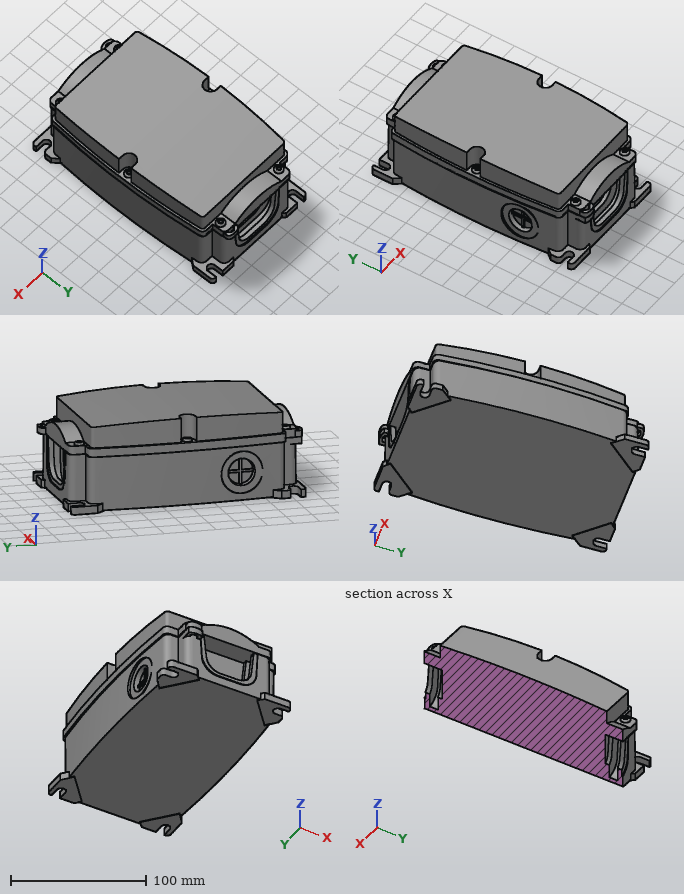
import cadquery as cq

total_height = 67.0
bottom_clearance = 0.55
foot_height = 6.0
parting_height = 42.0
flange_height = 48.6

screw_x = 32.15
screw_y = 79.6
side_screw_x = 45.0

body_top_mid_half_width = 51.1
body_bottom_mid_half_width = 50.4
body_shoulder_half_width = 46.8
body_shoulder_y = 75.6
body_neck_half_width = 36.4
body_neck_top_y = 87.6
body_neck_bottom_y = 88.2
body_corner_radius = 5.0

lid_offset_x = -0.35
lid_twist_angle = 0.2
flange_mid_half_width = 51.6
flange_shoulder_half_width = 47.5
flange_shoulder_y = 76.2
flange_neck_half_width = 36.9
flange_neck_y = 88.2
flange_corner_radius = 4.0
dome_mid_half_width = 49.5
dome_end_half_width = 45.5
dome_half_length = 74.05
dome_edge_height = 64.4
dome_corner_radius = 2.6
side_notch_radius = 6.0
arch_half_width = 25.5
arch_height = 56.2

tab_center_x = 30.55
tab_half_width = 5.85
tab_reach_y = 92.51
tab_end_bulge = 1.4
lid_tab_corner_radius = 3.0
tab_hole_radius = 2.95
tab_hole_depth = 2.2
lid_tab_top = 46.8
body_tab_bottom = 36.7

foot_half_x = 52.0
foot_half_y = 90.5
foot_slot_x = 44.6
foot_slot_y = 82.45
foot_slot_radius = 3.55
foot_outer_corner_y = 71.0
foot_outer_end = (45.0, 62.4)
foot_inner_corner_x = 29.0
foot_inner_end = (24.7, 86.2)
foot_corner_radius = 3.0

rim_top_half_width = 24.5
rim_bottom_half_width = 22.6
rim_bottom_z = 8.5
rim_corner_radius = 14.0
rim_depth = 0.3
entry_top_half_width = 21.3
entry_bottom_half_width = 18.2
entry_bottom_z = 12.0
entry_corner_radius = 12.0
entry_outer_wall = 4.3
entry_gap = 7.2
entry_inner_wall = 3.4
entry_gap_margin = 7.5

knockout_y = -41.3
knockout_z = 21.9
knockout_rim_radius = 16.1
knockout_rim_plane_x = -48.5
knockout_radius = 10.3
knockout_depth = 4.2
knockout_draft_angle = 7.0
knockout_rib_width = 1.9
knockout_rib_height = 1.0

screw_head_radius = 3.8
screw_head_height = 1.9
screw_head_rounding = 1.75
socket_radius = 1.4
socket_lobe_radius = 0.55
socket_lobe_count = 6
socket_depth = 1.2

overcut = 5.0
edge_reach = 1.0


def block(x_min, x_max, y_min, y_max, z_min, z_max):
    """Axis-aligned box given by its limits."""
    size = (x_max - x_min, y_max - y_min, z_max - z_min)
    return cq.Workplane("XY").box(*size, centered=False).translate((x_min, y_min, z_min))


def half_turn(shape):
    """Copy of a shape turned half way round the Z axis."""
    return shape.rotate((0, 0, 0), (0, 0, 1), 180)


def necked_outline(plane, mid_half_width, shoulder_half_width, shoulder_y, neck_half_width, neck_y):
    """Plan outline with bowed sides and a narrower neck at each end."""
    return (
        plane.moveTo(-shoulder_half_width, shoulder_y)
        .lineTo(-neck_half_width, shoulder_y)
        .lineTo(-neck_half_width, neck_y)
        .lineTo(neck_half_width, neck_y)
        .lineTo(neck_half_width, shoulder_y)
        .lineTo(shoulder_half_width, shoulder_y)
        .threePointArc((mid_half_width, 0), (shoulder_half_width, -shoulder_y))
        .lineTo(neck_half_width, -shoulder_y)
        .lineTo(neck_half_width, -neck_y)
        .lineTo(-neck_half_width, -neck_y)
        .lineTo(-neck_half_width, -shoulder_y)
        .lineTo(-shoulder_half_width, -shoulder_y)
        .threePointArc((-mid_half_width, 0), (-shoulder_half_width, shoulder_y))
        .close()
    )


def round_upright_edges(shape, half_x, half_y, radius):
    """Fillet the upright edges standing at (+-half_x, +-half_y)."""
    for side_x in (-1, 1):
        for side_y in (-1, 1):
            x = side_x * half_x
            y = side_y * half_y
            corner = cq.selectors.BoxSelector(
                (x - edge_reach, y - edge_reach, bottom_clearance + edge_reach),
                (x + edge_reach, y + edge_reach, total_height),
            )
            shape = shape.edges(corner).edges("not #Z").fillet(radius)
    return shape


def sealing_tab(z_min, z_max):
    """Tab with a bowed end, left of centre at the -Y end, with a seal hole where it meets the neck."""
    bow_y = -tab_reach_y + tab_end_bulge
    tab = (
        cq.Workplane("XY", origin=(0, 0, z_min))
        .moveTo(-tab_half_width, -screw_y)
        .lineTo(-tab_half_width, bow_y)
        .threePointArc((0, -tab_reach_y), (tab_half_width, bow_y))
        .lineTo(tab_half_width, -screw_y)
        .close()
        .extrude(z_max - z_min)
    )
    hole = (
        cq.Workplane("XY", origin=(0, -flange_neck_y, z_min))
        .ellipse(tab_hole_radius, tab_hole_depth)
        .extrude(z_max - z_min)
    )
    return tab.cut(hole).translate((-tab_center_x, 0, 0))


def body_shell():
    height = parting_height - bottom_clearance
    plan = (body_shoulder_half_width, body_shoulder_y, body_neck_half_width)
    lower = necked_outline(
        cq.Workplane("XY", origin=(0, 0, bottom_clearance)),
        body_bottom_mid_half_width, *plan, body_neck_bottom_y,
    )
    both = necked_outline(
        lower.workplane(offset=height),
        body_top_mid_half_width, *plan, body_neck_top_y,
    )
    body = both.loft(ruled=True)
    neck_mid_y = (body_neck_bottom_y + body_neck_top_y) / 2
    body = round_upright_edges(body, body_shoulder_half_width, body_shoulder_y, body_corner_radius)
    return round_upright_edges(body, body_neck_half_width, neck_mid_y, body_corner_radius)


def foot_blank():
    """Foot plate at the (-X, -Y) corner before its slot is cut."""
    return (
        cq.Workplane("XY")
        .polyline([
            (-foot_half_x, -foot_half_y),
            (-foot_inner_corner_x, -foot_half_y),
            (-foot_inner_end[0], -foot_inner_end[1]),
            (-foot_outer_end[0], -foot_outer_end[1]),
            (-foot_half_x, -foot_outer_corner_y),
        ])
        .close()
        .extrude(foot_height)
    )


def foot_hole():
    return (
        cq.Workplane("XY", origin=(-foot_slot_x, -foot_slot_y, 0))
        .circle(foot_slot_radius)
        .extrude(foot_height)
    )


def round_foot_corner(foot, corner_y):
    """Fillet the upright edge on the outer side of the foot at corner_y."""
    corner = cq.selectors.NearestToPointSelector((-foot_half_x, corner_y, foot_height / 2))
    return foot.edges(corner).fillet(foot_corner_radius)


def front_foot():
    """Foot whose slot opens sideways, with one side of the slot mouth rounded."""
    mouth_y = -foot_slot_y + foot_slot_radius
    slot = block(
        -foot_half_x - overcut, -foot_slot_x, -foot_slot_y - foot_slot_radius, mouth_y, 0, foot_height
    )
    foot = foot_blank().cut(foot_hole()).cut(slot)
    foot = round_foot_corner(foot, -foot_half_y)
    return round_foot_corner(foot, mouth_y)


def rear_foot():
    """Foot whose slot opens towards the end of the box."""
    slot = block(
        -foot_slot_x - foot_slot_radius, -foot_slot_x + foot_slot_radius,
        -foot_half_y - overcut, -foot_slot_y, 0, foot_height,
    )
    foot = foot_blank().cut(foot_hole()).cut(slot)
    return round_foot_corner(foot, -foot_half_y).mirror("XZ")


def feet():
    front = front_foot()
    rear = rear_foot()
    return front.union(front.mirror("YZ")).union(rear).union(rear.mirror("YZ"))


def entry_cutter(top_half_width, bottom_half_width, bottom_z, corner_radius, y_start, depth):
    """U-shaped cutter for the -Y wall, open at the parting plane, running inwards along +Y."""
    return (
        cq.Workplane("XZ", origin=(0, y_start, 0))
        .polyline([
            (-top_half_width, parting_height),
            (-bottom_half_width, bottom_z),
            (bottom_half_width, bottom_z),
            (top_half_width, parting_height),
        ])
        .close()
        .extrude(-depth)
        .edges("|Y and <Z")
        .fillet(corner_radius)
    )


def cable_entry():
    """Shallow rim, then a U opening through two walls with a wider gap between them."""
    wall_y = -body_neck_top_y
    opening = (entry_top_half_width, entry_bottom_half_width, entry_bottom_z, entry_corner_radius)
    rim = entry_cutter(
        rim_top_half_width, rim_bottom_half_width, rim_bottom_z, rim_corner_radius,
        wall_y - overcut, overcut + rim_depth,
    )
    throat_depth = entry_outer_wall + entry_gap + entry_inner_wall
    throat = entry_cutter(*opening, wall_y - overcut, overcut + throat_depth)
    gap = entry_cutter(
        entry_top_half_width + entry_gap_margin,
        entry_bottom_half_width + entry_gap_margin,
        entry_bottom_z - entry_gap_margin,
        entry_corner_radius,
        wall_y + entry_outer_wall,
        entry_gap,
    )
    return rim.union(throat).union(gap)


def knockout_cutter():
    """Flat round rim and a deeper tapered recess with a raised cross on its floor."""
    rim_plane = cq.Workplane("YZ", origin=(knockout_rim_plane_x, knockout_y, knockout_z))
    rim = rim_plane.circle(knockout_rim_radius).extrude(-overcut)
    recess = rim_plane.circle(knockout_radius).extrude(knockout_depth, taper=knockout_draft_angle)
    rib_plane = rim_plane.workplane(offset=knockout_depth - knockout_rib_height)
    for rib_size in ((2 * knockout_radius, knockout_rib_width), (knockout_rib_width, 2 * knockout_radius)):
        recess = recess.cut(rib_plane.rect(*rib_size).extrude(knockout_rib_height))
    return rim.union(recess)


def box_body():
    entry = cable_entry()
    body = body_shell().cut(entry).cut(half_turn(entry)).cut(knockout_cutter())
    return body.union(feet()).union(sealing_tab(body_tab_bottom, parting_height))


def lid_flange():
    flange = necked_outline(
        cq.Workplane("XY", origin=(0, 0, parting_height)),
        flange_mid_half_width, flange_shoulder_half_width, flange_shoulder_y,
        flange_neck_half_width, flange_neck_y,
    ).extrude(flange_height - parting_height)
    flange = round_upright_edges(flange, flange_shoulder_half_width, flange_shoulder_y, flange_corner_radius)
    return round_upright_edges(flange, flange_neck_half_width, flange_neck_y, flange_corner_radius)


def lid_dome():
    """Raised middle of the lid: bowed sides, crowned along Y, notched for the side screws."""
    plan = (
        cq.Workplane("XY", origin=(0, 0, parting_height))
        .moveTo(-dome_end_half_width, dome_half_length)
        .lineTo(dome_end_half_width, dome_half_length)
        .threePointArc((dome_mid_half_width, 0), (dome_end_half_width, -dome_half_length))
        .lineTo(-dome_end_half_width, -dome_half_length)
        .threePointArc((-dome_mid_half_width, 0), (-dome_end_half_width, dome_half_length))
        .close()
        .extrude(total_height - parting_height)
        .edges("|Z")
        .fillet(dome_corner_radius)
    )
    crown = (
        cq.Workplane("YZ", origin=(-dome_mid_half_width, 0, 0))
        .moveTo(-dome_half_length, parting_height)
        .lineTo(-dome_half_length, dome_edge_height)
        .threePointArc((0, total_height), (dome_half_length, dome_edge_height))
        .lineTo(dome_half_length, parting_height)
        .close()
        .extrude(2 * dome_mid_half_width)
    )
    notch = (
        cq.Workplane("XY", origin=(-side_screw_x, 0, flange_height))
        .circle(side_notch_radius)
        .extrude(total_height)
        .union(block(
            -side_screw_x - overcut, -side_screw_x, -side_notch_radius, side_notch_radius,
            flange_height, total_height,
        ))
    )
    return plan.intersect(crown).cut(notch).cut(half_turn(notch))


def end_arches():
    """Arched hood over each cable entry, one bar running the length of the lid."""
    return (
        cq.Workplane("XZ", origin=(0, flange_neck_y, 0))
        .moveTo(-arch_half_width, flange_height)
        .threePointArc((0, arch_height), (arch_half_width, flange_height))
        .close()
        .extrude(2 * flange_neck_y)
    )


def screw_head():
    """Round-topped head with a six-lobed socket, seated at the origin."""
    head = cq.Workplane("XY").circle(screw_head_radius).extrude(screw_head_height)
    head = head.edges(">Z").fillet(screw_head_rounding)
    socket_floor = cq.Workplane("XY", origin=(0, 0, screw_head_height - socket_depth))
    socket = socket_floor.circle(socket_radius).extrude(socket_depth)
    lobes = (
        socket_floor.polarArray(socket_radius, 0, 360, socket_lobe_count)
        .circle(socket_lobe_radius)
        .extrude(socket_depth)
    )
    return head.cut(socket).cut(lobes)


def screw_heads():
    places = [(-side_screw_x, 0), (side_screw_x, 0)]
    for x in (-screw_x, screw_x):
        for y in (-screw_y, screw_y):
            places.append((x, y))
    heads = cq.Workplane("XY")
    for x, y in places:
        heads = heads.add(screw_head().translate((x, y, flange_height)))
    return heads.combine()


def lid():
    """Complete lid, seated on the body slightly off centre and slightly turned."""
    tab = sealing_tab(parting_height, lid_tab_top)
    for corner_x in (-tab_center_x - tab_half_width, -tab_center_x + tab_half_width):
        corner_point = (corner_x, -tab_reach_y + tab_end_bulge, (parting_height + lid_tab_top) / 2)
        corner = cq.selectors.NearestToPointSelector(corner_point)
        tab = tab.edges("|Z").edges(corner).fillet(lid_tab_corner_radius)
    cover = lid_flange().union(lid_dome()).union(end_arches())
    cover = cover.union(tab).union(half_turn(tab)).union(screw_heads())
    return cover.rotate((0, 0, 0), (0, 0, 1), lid_twist_angle).translate((lid_offset_x, 0, 0))


result = box_body().union(lid())